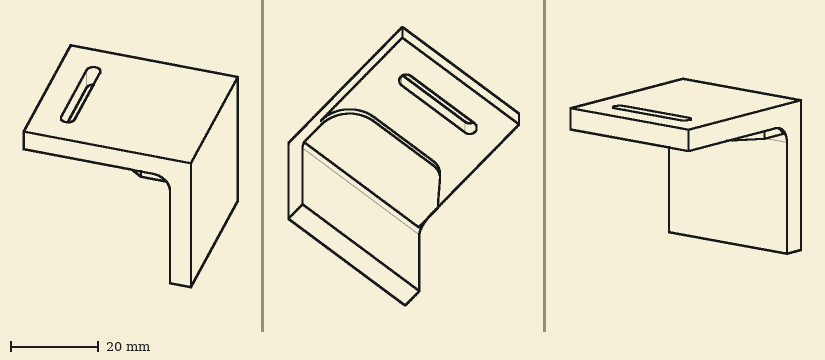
import cadquery as cq
import math

length = 40.0
width = 35.0
height = 35.0
thickness = 5.0
inner_radius = 4.0

slot_x = 8.0
slot_width = 3.2
slot_length = 22.2

pad_thickness = 2.0
pad_left = 20.0
pad_front = 0.65
pad_front_radius = 4.4
pad_front_arc_start_y = 8.65
pad_slant_angle = math.radians(53.5)
pad_back_radius = 8.6

plate_bottom = height - thickness
leg_inner_x = length - thickness


def make_bracket():
    profile = (
        cq.Workplane("XZ")
        .moveTo(0, height)
        .lineTo(length, height)
        .lineTo(length, 0)
        .lineTo(leg_inner_x, 0)
        .lineTo(leg_inner_x, plate_bottom - inner_radius)
        .radiusArc((leg_inner_x - inner_radius, plate_bottom), -inner_radius)
        .lineTo(0, plate_bottom)
        .close()
    )
    return profile.extrude(-width)


def make_pad():
    slant_start_x = pad_left + pad_front_radius * (1 - math.cos(pad_slant_angle))
    slant_start_y = pad_front_arc_start_y - pad_front_radius * math.sin(pad_slant_angle)
    slant_run = (slant_start_y - pad_front) * math.tan(pad_slant_angle)
    outline = (
        cq.Workplane("XY", origin=(0, 0, plate_bottom - pad_thickness))
        .moveTo(leg_inner_x, pad_front)
        .lineTo(slant_start_x + slant_run, pad_front)
        .lineTo(slant_start_x, slant_start_y)
        .tangentArcPoint((pad_left, pad_front_arc_start_y), relative=False)
        .lineTo(pad_left, width - pad_back_radius)
        .tangentArcPoint((pad_left + pad_back_radius, width), relative=False)
        .lineTo(leg_inner_x, width)
        .close()
    )
    return outline.extrude(pad_thickness)


def make_slot_cutter():
    return (
        cq.Workplane("XY", origin=(slot_x, width / 2, plate_bottom))
        .slot2D(slot_length, slot_width, 90)
        .extrude(thickness)
    )


result = make_bracket().union(make_pad()).cut(make_slot_cutter())